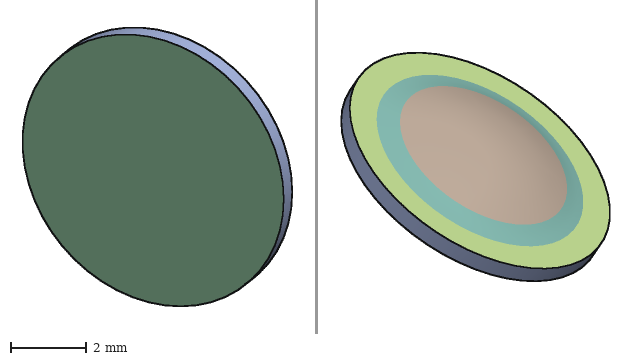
import cadquery as cq

disc_diameter = 7.8
disc_thickness = 0.5
total_thickness = 1.22
cap_diameter = 5.01
cap_height = 0.515
flare_diameter = 6.19

disc_radius = disc_diameter / 2
cap_radius = cap_diameter / 2
flare_radius = flare_diameter / 2
cap_base_y = total_thickness - cap_height

sphere_radius = (cap_radius**2 + cap_height**2) / (2 * cap_height)
sphere_center_y = total_thickness - sphere_radius

mid_radius = cap_radius / 2
mid_y = sphere_center_y + (sphere_radius**2 - mid_radius**2) ** 0.5

half_section = (
    cq.Workplane("XY")
    .lineTo(0, total_thickness)
    .threePointArc((mid_radius, mid_y), (cap_radius, cap_base_y))
    .tangentArcPoint((flare_radius, disc_thickness), relative=False)
    .lineTo(disc_radius, disc_thickness)
    .lineTo(disc_radius, 0)
    .close()
)

result = half_section.revolve(360, (0, 0, 0), (0, 1, 0))